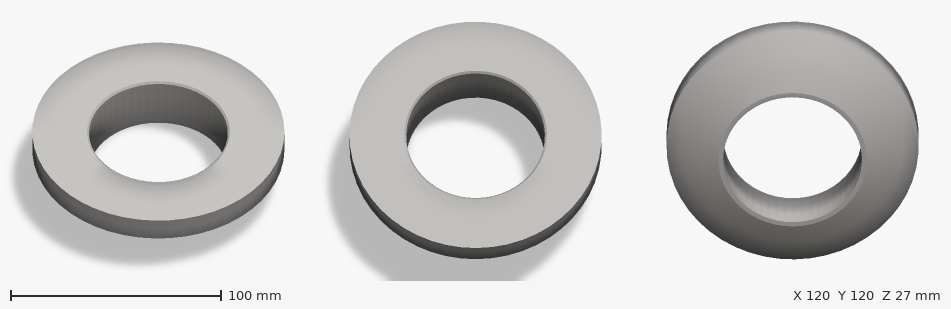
import cadquery as cq
import math

outer_diameter = 120.0
height = 27.0
rim_height = 12.0
bore_diameter = 66.0
bore_chamfer = 1.0
base_diameter = 70.5

outer_radius = outer_diameter / 2
bore_radius = bore_diameter / 2
base_radius = base_diameter / 2
rim_bottom = height - rim_height

sphere_center_z = (outer_radius**2 - base_radius**2 + rim_bottom**2) / (2 * rim_bottom)
sphere_radius = math.hypot(base_radius, sphere_center_z)
seat_middle_radius = (base_radius + outer_radius) / 2
seat_middle_z = sphere_center_z - math.sqrt(sphere_radius**2 - seat_middle_radius**2)

section = (
    cq.Workplane("XZ")
    .moveTo(-bore_radius, 0)
    .lineTo(-base_radius, 0)
    .threePointArc((-seat_middle_radius, seat_middle_z), (-outer_radius, rim_bottom))
    .lineTo(-outer_radius, height)
    .lineTo(-bore_radius - bore_chamfer, height)
    .lineTo(-bore_radius, height - bore_chamfer)
    .close()
)

result = section.revolve(360, (0, 0, 0), (0, 1, 0))